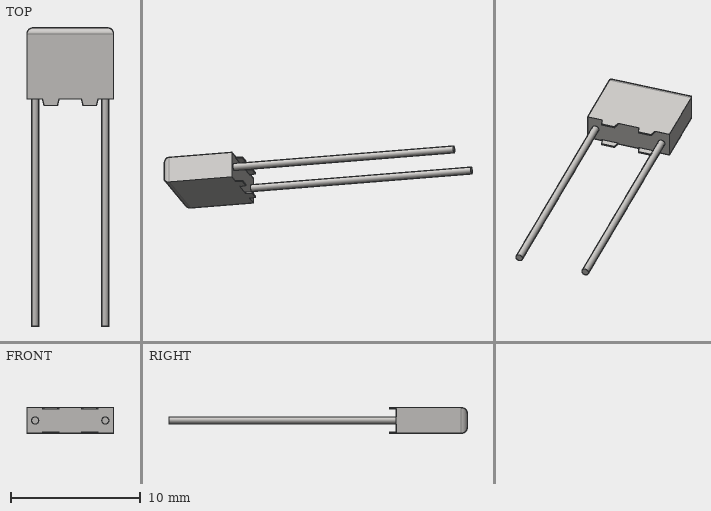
import cadquery as cq


case_width = 6.7
case_length = 5.5
case_thickness = 2.0
end_fillet = 0.5

tab_root_width = 1.3
tab_tip_width = 1.05
tab_length = 0.5
tab_thickness = 0.1
tab_pitch = 3.0

overall_length = 23.0
lead_length = overall_length - case_length
lead_diameter = 0.55
lead_pitch = 5.4


def make_tab(x, z_bottom):
    """Tapered tab reaching out from the lead face, its underside at z_bottom."""
    return (
        cq.Workplane("XY", origin=(x, 0, z_bottom))
        .moveTo(-tab_root_width / 2, 0)
        .lineTo(-tab_tip_width / 2, -tab_length)
        .lineTo(tab_tip_width / 2, -tab_length)
        .lineTo(tab_root_width / 2, 0)
        .close()
        .extrude(tab_thickness)
    )


def make_case():
    """Block rounded around its closed end, with tabs flush with both broad faces."""
    block = (
        cq.Workplane("XY")
        .box(case_width, case_length, case_thickness, centered=(True, False, True))
        .faces(">Y")
        .edges()
        .fillet(end_fillet)
    )
    for x_side in (-1, 1):
        x = x_side * tab_pitch / 2
        for z_bottom in (-case_thickness / 2, case_thickness / 2 - tab_thickness):
            block = block.union(make_tab(x, z_bottom))
    return block


def make_lead(x):
    """Round wire running from the lead face toward -Y."""
    return (
        cq.Workplane("XZ", origin=(x, 0, 0))
        .circle(lead_diameter / 2)
        .extrude(lead_length)
    )


case = make_case()
leads = [make_lead(side * lead_pitch / 2) for side in (-1, 1)]

result = cq.Compound.makeCompound([case.val(), *[lead.val() for lead in leads]])